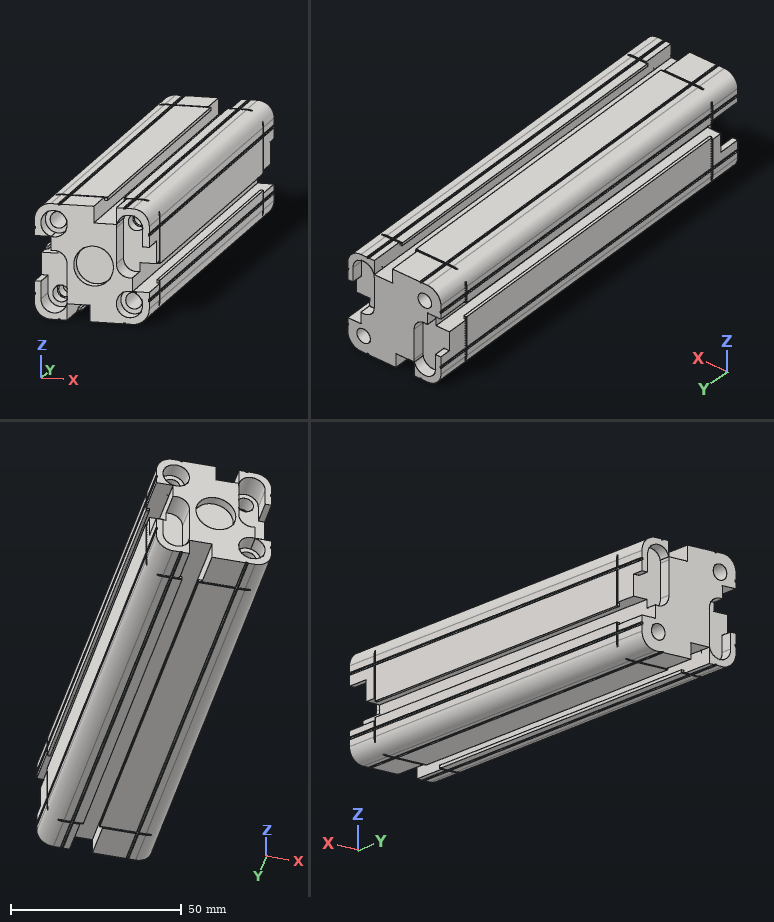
import cadquery as cq

SIDE = 35.0
LENGTH = 140.0
CORNER_RADIUS = 5.0
HALF_SIDE = SIDE / 2
HALF_LENGTH = LENGTH / 2
FRONT = -HALF_LENGTH
BACK = HALF_LENGTH

SLOT_OFFSET = 4.0
SLOT_WIDTH = 6.9
SLOT_DEPTH = 5.0
MOUTH_WIDTH = 5.0
LIP_THICKNESS = 1.0

CAP_LENGTH = 12.0
SEAM_WIDTH = 0.4
SEAM_DEPTH = 0.3

LINE_GROOVE_OFFSET = 10.0
LINE_GROOVE_WIDTH = 0.8
LINE_GROOVE_FLOOR_WIDTH = 0.4
LINE_GROOVE_DEPTH = 0.3

HOLE_OFFSET = 11.5
HOLE_DIAMETER = 5.0
COUNTERBORE_DIAMETER = 8.0
COUNTERBORE_DEPTH = 5.0

BLIND_OUTER_DEPTH = 5.0
BLIND_INNER_DIAMETER = 4.2
BLIND_INNER_DEPTH = 10.1

POCKET_WIDTH = COUNTERBORE_DIAMETER
POCKET_TOP_CENTRE = -0.5
POCKET_SIDE_BOTTOM = -6.2
FRONT_POCKET_DEPTH = 8.0
BACK_POCKET_DEPTH = 4.0

RECESS_OFFSET = 0.5
RECESS_DIAMETER = 12.0
RECESS_DEPTH = 3.0


def section_plane(y):
    """Sketch plane across the bar; its sketches extrude toward -Y."""
    return cq.Workplane("XZ", origin=(0, y, 0))


def bore(x, z, diameter, start, depth):
    """Cylinder along +Y, beginning at the given Y."""
    return section_plane(start).center(x, z).circle(diameter / 2).extrude(-depth)


def cut_around(body, tool, count):
    """Cut equally spaced copies of a tool around the Y axis."""
    for index in range(count):
        body = body.cut(tool.rotate((0, 0, 0), (0, 1, 0), index * 360 / count))
    return body


def slot():
    """Slot in the top side: wide in the caps, narrowed by lips along the barrel."""
    slot_centre_z = HALF_SIDE - SLOT_DEPTH / 2
    wide = (
        cq.Workplane()
        .box(SLOT_WIDTH, LENGTH, SLOT_DEPTH)
        .translate((SLOT_OFFSET, 0, slot_centre_z))
    )
    lips = (
        cq.Workplane()
        .box(SLOT_WIDTH, LENGTH - 2 * CAP_LENGTH, LIP_THICKNESS)
        .cut(cq.Workplane().box(MOUTH_WIDTH, LENGTH, LIP_THICKNESS))
        .translate((SLOT_OFFSET, 0, HALF_SIDE - LIP_THICKNESS / 2))
    )
    return wide.cut(lips)


def line_groove(x):
    """Tapered groove along the top side, centred at the given X."""
    half_width = LINE_GROOVE_WIDTH / 2
    half_floor = LINE_GROOVE_FLOOR_WIDTH / 2
    floor_z = HALF_SIDE - LINE_GROOVE_DEPTH
    outline = [
        (x - half_width, HALF_SIDE),
        (x + half_width, HALF_SIDE),
        (x + half_floor, floor_z),
        (x - half_floor, floor_z),
    ]
    return section_plane(BACK).polyline(outline).close().extrude(LENGTH)


def seam(y):
    """Fine groove around the whole bar, with a square core."""
    core_side = SIDE - 2 * SEAM_DEPTH
    ring = cq.Workplane().box(SIDE, SEAM_WIDTH, SIDE)
    return ring.cut(cq.Workplane().box(core_side, SEAM_WIDTH, core_side)).translate((0, y, 0))


def pocket(start, depth):
    """Rounded pocket over the lower -X corner hole, opening through the -X side."""
    height = POCKET_TOP_CENTRE + HOLE_OFFSET
    rounded = (
        section_plane(start)
        .center(-HOLE_OFFSET, (POCKET_TOP_CENTRE - HOLE_OFFSET) / 2)
        .slot2D(height + POCKET_WIDTH, POCKET_WIDTH, 90)
        .extrude(-depth)
    )
    slot_bottom = SLOT_OFFSET - SLOT_WIDTH / 2
    opening = (
        section_plane(start)
        .center(-HALF_SIDE, POCKET_SIDE_BOTTOM)
        .rect(HALF_SIDE - HOLE_OFFSET, slot_bottom - POCKET_SIDE_BOTTOM, centered=False)
        .extrude(-depth)
    )
    return rounded.union(opening)


result = section_plane(BACK).rect(SIDE, SIDE).extrude(LENGTH).edges("|Y").fillet(CORNER_RADIUS)

result = cut_around(result, slot(), 4)
for groove_x in (-LINE_GROOVE_OFFSET, LINE_GROOVE_OFFSET):
    result = cut_around(result, line_groove(groove_x), 4)
for cap_edge in (FRONT + CAP_LENGTH, BACK - CAP_LENGTH):
    result = result.cut(seam(cap_edge))

through_hole = bore(-HOLE_OFFSET, HOLE_OFFSET, HOLE_DIAMETER, FRONT, LENGTH).union(
    bore(-HOLE_OFFSET, HOLE_OFFSET, COUNTERBORE_DIAMETER, FRONT, COUNTERBORE_DEPTH)
)
result = cut_around(result, through_hole, 2)

result = cut_around(result, pocket(FRONT, FRONT_POCKET_DEPTH), 2)
result = cut_around(result, pocket(BACK - BACK_POCKET_DEPTH, BACK_POCKET_DEPTH), 2)
pocket_floor = FRONT + FRONT_POCKET_DEPTH
blind_hole = bore(-HOLE_OFFSET, -HOLE_OFFSET, HOLE_DIAMETER, pocket_floor, BLIND_OUTER_DEPTH).union(
    bore(-HOLE_OFFSET, -HOLE_OFFSET, BLIND_INNER_DIAMETER, pocket_floor, BLIND_INNER_DEPTH)
)
result = cut_around(result, blind_hole, 2)

result = result.cut(bore(RECESS_OFFSET, -RECESS_OFFSET, RECESS_DIAMETER, FRONT, RECESS_DEPTH))